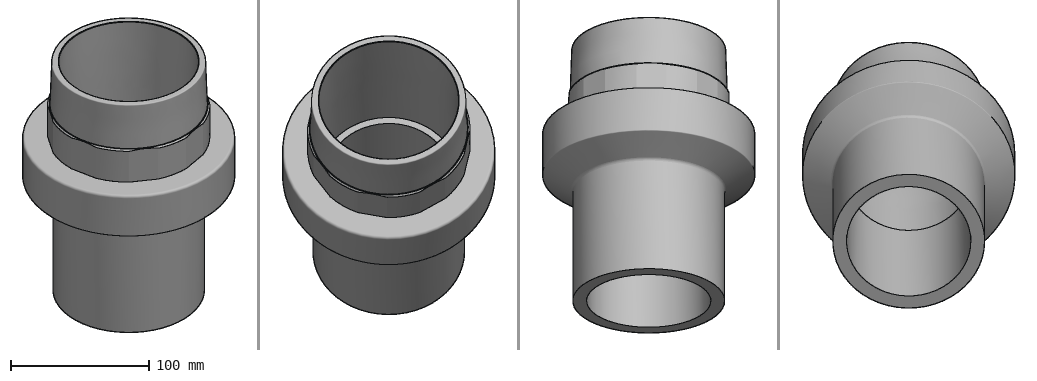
import cadquery as cq
import math

total_height = 200.5

pipe_radius = 55.0
pipe_bore_radius = 45.0

collar_radius = 76.8
collar_top = 135.0
collar_bottom = 100.0
collar_top_fillet = 2.0
collar_bottom_fillet = 1.0
cone_slope_angle = 30.0
neck_fillet = 2.5

wrench_radius = 58.7
wrench_top = 163.2
wrench_chamfer = 1.2
flat_count = 8
flat_distance = 57.7

spigot_base_radius = 57.0
spigot_top_radius = 55.7
spigot_fillet = 0.8

socket_mouth_radius = 51.0
socket_radius = 50.1
socket_taper_end = 142.8
socket_floor = collar_bottom
mouth_chamfer = 0.5


def cylinder(radius, bottom, top):
    return cq.Workplane("XY").workplane(offset=bottom).circle(radius).extrude(top - bottom)


def revolve_profile(points):
    """Turn a closed (radius, height) outline about the Z axis."""
    return cq.Workplane("XZ").polyline(points).close().revolve(360, (0, 0, 0), (0, 1, 0))


def pipe_and_collar():
    cone_height = (collar_radius - pipe_radius) * math.tan(math.radians(cone_slope_angle))
    neck_height = collar_bottom - cone_height
    body = revolve_profile([
        (0, 0),
        (pipe_radius, 0),
        (pipe_radius, neck_height),
        (collar_radius, collar_bottom),
        (collar_radius, collar_top),
        (0, collar_top),
    ])

    def circle_edge(radius, height):
        margin = 0.2
        reach = radius + margin
        return cq.selectors.BoxSelector(
            (-reach, -reach, height - margin), (reach, reach, height + margin), boundingbox=True
        )

    body = body.edges(circle_edge(collar_radius, collar_top)).fillet(collar_top_fillet)
    body = body.edges(circle_edge(collar_radius, collar_bottom)).fillet(collar_bottom_fillet)
    return body.edges(circle_edge(pipe_radius, neck_height)).fillet(neck_fillet)


def wrench_section():
    section = cylinder(wrench_radius, collar_bottom, wrench_top)
    section = section.faces(">Z").edges().chamfer(wrench_chamfer)
    octagon = (
        cq.Workplane("XY")
        .workplane(offset=collar_bottom)
        .polygon(flat_count, 2 * flat_distance, circumscribed=True)
        .extrude(wrench_top - collar_bottom)
    )
    half_pitch = 180 / flat_count
    return section.intersect(octagon.rotate((0, 0, 0), (0, 0, 1), half_pitch))


def spigot():
    body = revolve_profile([
        (0, collar_bottom),
        (spigot_base_radius, collar_bottom),
        (spigot_base_radius, wrench_top),
        (spigot_top_radius, total_height),
        (0, total_height),
    ])
    return body.faces(">Z").edges().fillet(spigot_fillet)


def bore():
    return revolve_profile([
        (0, 0),
        (pipe_bore_radius, 0),
        (pipe_bore_radius, socket_floor),
        (socket_radius, socket_floor),
        (socket_radius, socket_taper_end),
        (socket_mouth_radius - mouth_chamfer, total_height - mouth_chamfer),
        (socket_mouth_radius, total_height),
        (0, total_height),
    ])


result = pipe_and_collar().union(wrench_section()).union(spigot()).cut(bore())